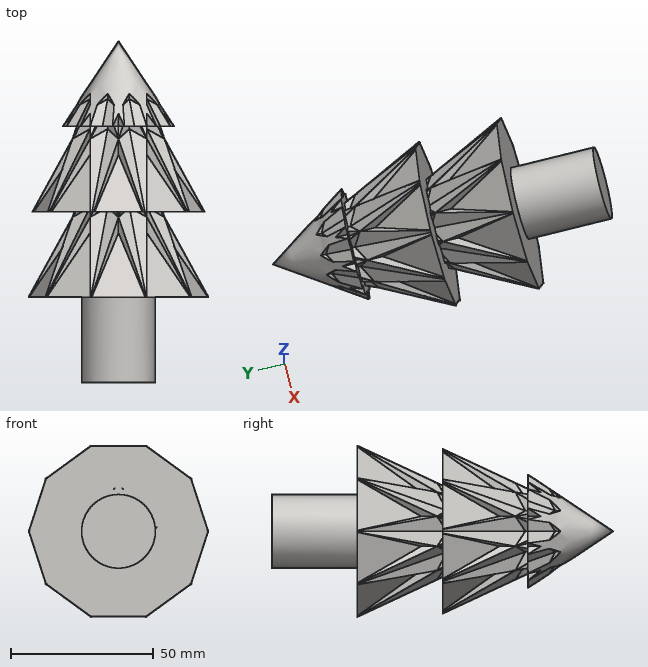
import cadquery as cq
import math

total_length = 120.0
section_count = 4
section_length = total_length / section_count

trunk_radius = 13.0

board_count = 5
board_angle_step = 180.0 / board_count
board_thickness = section_length * 2 / 3
slope_angle = 60.0
taper = section_length / math.tan(math.radians(slope_angle))

lower_reach = section_length
middle_reach = 28.5
top_reach = taper

cone_radius = math.hypot(top_reach, board_thickness / 2)


def make_board(base_y, reach):
    """One flat board with its sloped ends facing +X and -X."""
    top_half_width = reach - taper
    outline = [(-reach, base_y), (reach, base_y)]
    if top_half_width > 0:
        outline.append((top_half_width, base_y + section_length))
        outline.append((-top_half_width, base_y + section_length))
    else:
        outline.append((0, base_y + section_length))
    return cq.Workplane("XY").polyline(outline).close().extrude(board_thickness / 2, both=True)


def make_tier(base_y, reach):
    """Boards crossing at equal angles around the Y axis, the first one standing along Z."""
    board = make_board(base_y, reach)
    tier = None
    for index in range(board_count):
        turned = board.rotate((0, 0, 0), (0, 1, 0), 90 + index * board_angle_step)
        tier = turned if tier is None else tier.union(turned)
    return tier


def revolve_around_axis(profile):
    """Solid of revolution around the Y axis from (distance from axis, y) points."""
    return cq.Workplane("ZY").polyline(profile).close().revolve(360, (0, 0, 0), (0, 1, 0))


lower_base = section_length
middle_base = lower_base + section_length
top_base = middle_base + section_length

trunk = revolve_around_axis([(0, 0), (trunk_radius, 0), (trunk_radius, lower_base), (0, lower_base)])
cone = revolve_around_axis([(0, top_base), (cone_radius, top_base), (0, total_length)])
lower_tier = make_tier(lower_base, lower_reach)
middle_tier = make_tier(middle_base, middle_reach)
top_tier = make_tier(top_base, top_reach).intersect(cone)

result = trunk.union(lower_tier).union(middle_tier).union(top_tier)